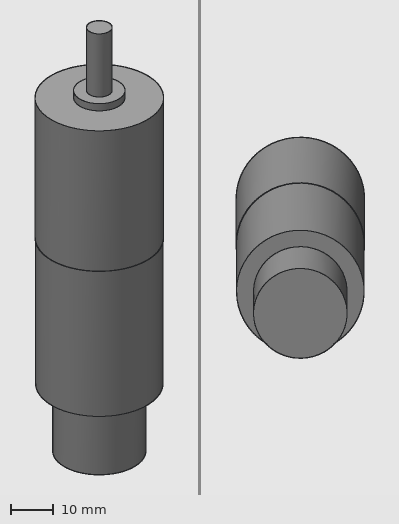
import cadquery as cq

total_height = 116.0
encoder_height = 18.5
motor_height = 39.8
gearbox_height = 38.5
boss_height = 2.0

encoder_diameter = 21.9
motor_diameter = 29.9
gearbox_diameter = 30.2
boss_diameter = 12.1
shaft_diameter = 6.0

motor_base = encoder_height
gearbox_base = motor_base + motor_height
gearbox_top = gearbox_base + gearbox_height
boss_top = gearbox_top + boss_height


def cylinder(diameter, base, height):
    """Upright cylinder on the common Z axis."""
    return cq.Workplane("XY").workplane(offset=base).circle(diameter / 2).extrude(height)


def make_encoder():
    """Narrow rear cap below the motor."""
    return cylinder(encoder_diameter, 0, encoder_height)


def make_motor():
    """Motor can between the rear cap and the gearbox."""
    return cylinder(motor_diameter, motor_base, motor_height)


def make_gearbox():
    """Gearbox housing with the raised boss around the shaft."""
    housing = cylinder(gearbox_diameter, gearbox_base, gearbox_height)
    boss = cylinder(boss_diameter, gearbox_top, boss_height)
    return housing.union(boss)


def make_shaft():
    """Output shaft standing on the boss."""
    return cylinder(shaft_diameter, boss_top, total_height - boss_top)


encoder = make_encoder()
motor = make_motor()
gearbox = make_gearbox()
shaft = make_shaft()

result = cq.Compound.makeCompound([encoder.val(), motor.val(), gearbox.val(), shaft.val()])